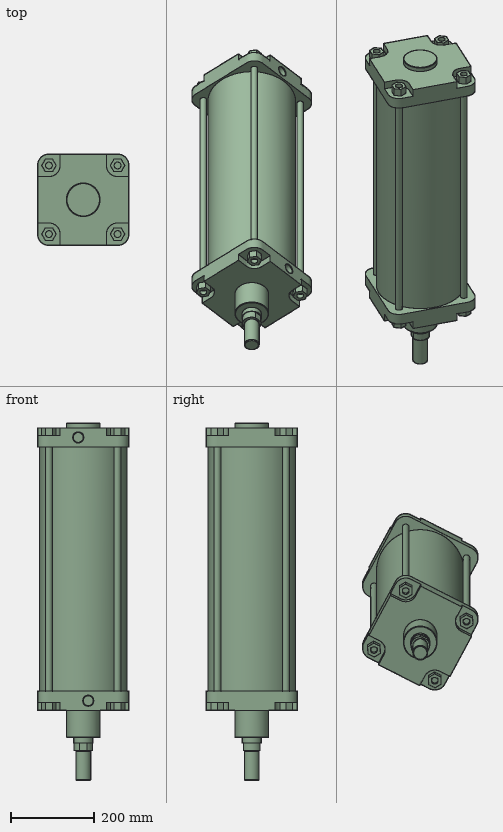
import cadquery as cq
import math


cap_side = 220.0
cap_height = 46.0
cap_corner_radius = 27.5
rear_cap_top = 848.0
rear_cap_bottom = rear_cap_top - cap_height
front_cap_bottom = 168.0
front_cap_top = front_cap_bottom + cap_height

tie_rod_offset = cap_side / 2 - cap_corner_radius
pocket_depth = 19.0
pocket_radius = 27.0
rear_pocket_floor = rear_cap_top - pocket_depth
front_pocket_floor = front_cap_bottom + pocket_depth
pocket_reach = cap_corner_radius

port_radius = 12.0
port_chamfer = 1.3
port_chamfer_angle = 45
port_depth = 26.0
port_offset = 12.0

boss_radius = 40.0
rear_boss_top = 859.0
front_boss_bottom = 103.0
boss_chamfer = 1.3

barrel_radius = 106.0

tie_rod_radius = 8.2
nut_across_flats = 30.0
nut_across_corners = nut_across_flats / math.cos(math.pi / 6)
nut_height = pocket_depth
nut_recess_depth = 12.0
tie_rod_signs = [(-1, -1), (1, -1), (1, 1), (-1, 1)]

rod_radius = 23.0
flats_radius = 22.0
rod_across_flats = 40.0
flats_top = 90.0
flats_bottom = 71.0
thread_radius = 18.0
thread_chamfer = 2.15


def cylinder(radius, bottom, top):
    return cq.Workplane("XY").workplane(offset=bottom).circle(radius).extrude(top - bottom)


def tie_rod_centre(signs):
    return signs[0] * tie_rod_offset, signs[1] * tie_rod_offset


def corner_pocket(signs, bottom):
    """Cutter open to both sides of a cap corner and rounded about the tie-rod axis."""
    x, y = tie_rod_centre(signs)
    length = pocket_radius + pocket_reach
    outward = pocket_reach / 2
    middle = (pocket_reach - pocket_radius) / 2
    round_end = cylinder(pocket_radius, 0, pocket_depth)
    along_x = (
        cq.Workplane("XY")
        .center(signs[0] * middle, signs[1] * outward)
        .rect(length, pocket_reach)
        .extrude(pocket_depth)
    )
    along_y = (
        cq.Workplane("XY")
        .center(signs[0] * outward, signs[1] * middle)
        .rect(pocket_reach, length)
        .extrude(pocket_depth)
    )
    return round_end.union(along_x).union(along_y).translate((x, y, bottom))


def air_port(x, z):
    """Cutter for a blind round port with a chamfered mouth in the -Y face."""
    face = cq.Workplane("XZ", origin=(x, -cap_side / 2, z))
    bore = face.circle(port_radius).extrude(-port_depth)
    mouth = face.circle(port_radius + port_chamfer).extrude(-port_chamfer, taper=port_chamfer_angle)
    return bore.union(mouth)


def end_cap(bottom, pocket_bottom, port_x):
    """Square cap with nut pockets, tie-rod holes and one air port."""
    cap = (
        cq.Workplane("XY")
        .workplane(offset=bottom)
        .rect(cap_side, cap_side)
        .extrude(cap_height)
        .edges("|Z")
        .fillet(cap_corner_radius)
    )
    for signs in tie_rod_signs:
        x, y = tie_rod_centre(signs)
        cap = cap.cut(corner_pocket(signs, pocket_bottom))
        tie_rod_hole = cylinder(tie_rod_radius, bottom, bottom + cap_height)
        cap = cap.cut(tie_rod_hole.translate((x, y, 0)))
    return cap.cut(air_port(port_x, bottom + cap_height / 2))


def make_rear_cap():
    """Rear cap with a short closed boss on top."""
    boss = cylinder(boss_radius, rear_cap_top, rear_boss_top).faces(">Z").chamfer(boss_chamfer)
    return end_cap(rear_cap_bottom, rear_pocket_floor, -port_offset).union(boss)


def make_front_cap():
    """Front cap with the long boss that guides the piston rod."""
    boss = cylinder(boss_radius, front_boss_bottom, front_cap_bottom).faces("<Z").chamfer(boss_chamfer)
    cap = end_cap(front_cap_bottom, front_cap_bottom, port_offset).union(boss)
    return cap.cut(cylinder(rod_radius, front_boss_bottom, front_cap_top))


def make_barrel():
    """Plain round barrel clamped between the caps."""
    return cylinder(barrel_radius, front_cap_top, rear_cap_bottom)


def make_piston_rod():
    """Shank, wrench flats facing -Y and +Y, and a thread chamfered at both ends."""
    shank = cylinder(rod_radius, flats_top, front_cap_top)
    flats_block = (
        cq.Workplane("XY")
        .workplane(offset=flats_bottom)
        .rect(2 * flats_radius, rod_across_flats)
        .extrude(flats_top - flats_bottom)
    )
    flats = cylinder(flats_radius, flats_bottom, flats_top).intersect(flats_block)
    thread = cylinder(thread_radius, 0, flats_bottom).faces("<Z or >Z").chamfer(thread_chamfer)
    return shank.union(flats).union(thread)


def hex_nut(bottom):
    """Solid hexagon with two of its corners along X."""
    return cq.Workplane("XY").workplane(offset=bottom).polygon(6, nut_across_corners).extrude(nut_height)


def make_tie_rod(signs):
    """Rod running through both caps, one solid with its two nuts, each with a round recess in its end."""
    x, y = tie_rod_centre(signs)
    rod = cylinder(tie_rod_radius, front_pocket_floor, rear_pocket_floor)
    rod = rod.union(hex_nut(rear_pocket_floor))
    rod = rod.union(hex_nut(front_cap_bottom))
    rod = rod.cut(cylinder(tie_rod_radius, rear_cap_top - nut_recess_depth, rear_cap_top))
    rod = rod.cut(cylinder(tie_rod_radius, front_cap_bottom, front_cap_bottom + nut_recess_depth))
    return rod.translate((x, y, 0))


rear_cap = make_rear_cap()
front_cap = make_front_cap()
barrel = make_barrel()
piston_rod = make_piston_rod()
tie_rods = [make_tie_rod(signs) for signs in tie_rod_signs]

result = cq.Compound.makeCompound(
    [rear_cap.val(), front_cap.val(), barrel.val(), piston_rod.val(), *[rod.val() for rod in tie_rods]]
)